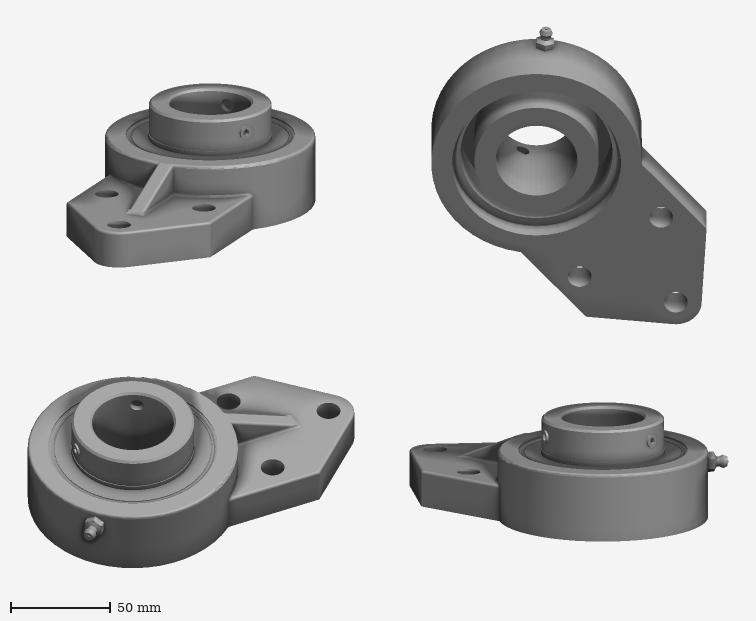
import cadquery as cq
import math

housing_diameter = 106.0
housing_height = 34.7
housing_edge_radius = 1.5
seat_diameter = 89.1
opening_diameter = 85.1
bearing_center_z = 21.8

foot_half_width = 40.0
foot_height = 18.5
foot_shoulder_y = -85.0
nose_radius = 13.0
nose_center_y = -108.0
foot_edge_radius = 1.4
foot_blend_radius = 1.4
bolt_hole_diameter = 12.0
bolt_hole_centers = [(-27.0, -65.0), (27.0, -65.0), (0.0, nose_center_y)]

rib_thickness = 8.4
rib_edge_radius = 1.3
rib_flare_radius = 1.3
rib_end_y = -90.3
rib_overlap = 5.0

shaft_diameter = 41.27
collar_diameter = 61.72
collar_top_z = 52.0
collar_chamfer = 1.1
shaft_bore_chamfer = 1.1
shoulder_diameter = 62.48
shoulder_top_z = 35.8
inner_ring_lower_reach = 19.0

outer_ring_half_width = 12.0
outer_ring_bore_diameter = 76.65
mouth_diameter = 83.5
seal_diameter = 81.9
seal_thickness = 2.0
seal_drop = 0.5
seal_groove_outer_diameter = 80.3
seal_groove_inner_diameter = 78.74
seal_groove_depth = 0.4

screw_diameter = 6.78
screw_z = 44.0
screw_angles = (90.0, -30.0)
screw_outer_radius = 31.8
screw_length = 8.0
socket_flats = 3.2
socket_depth = 3.0

nipple_angle = 135.0
nipple_z = 27.0
nipple_stem_diameter = 6.0
nipple_stem_length = 7.5
nipple_hex_flats = 9.0
nipple_hex_length = 3.3
nipple_cone_end = 4.6
nipple_neck_diameter = 5.0
nipple_neck_end = 5.9
nipple_head_diameter = 6.78
nipple_head_widest = 7.9
nipple_face_diameter = 4.8
nipple_face = 10.0
nipple_tip_diameter = 1.48
nipple_tip = 10.6

housing_radius = housing_diameter / 2
outer_ring_top_z = bearing_center_z + outer_ring_half_width
outer_ring_bottom_z = bearing_center_z - outer_ring_half_width
inner_ring_bottom_z = bearing_center_z - inner_ring_lower_reach
seal_top_z = outer_ring_top_z - seal_drop
seal_bottom_z = seal_top_z - seal_thickness


def disc(diameter, bottom, top):
    """Upright cylinder on the bearing axis."""
    return cq.Workplane("XY", origin=(0, 0, bottom)).circle(diameter / 2).extrude(top - bottom)


def ball_seat():
    """Sphere shared by the housing seat and the outer ring."""
    return cq.Workplane("XY").sphere(seat_diameter / 2).translate((0, 0, bearing_center_z))


def radial_plane(angle, radius, height):
    """Plane whose normal points away from the bearing axis and whose local X is +Z."""
    outward = cq.Vector(math.cos(math.radians(angle)), math.sin(math.radians(angle)), 0)
    origin = outward * radius + cq.Vector(0, 0, height)
    return cq.Plane(origin=origin, xDir=(0, 0, 1), normal=outward)


def hexagon(plane, flats, length):
    """Hexagonal prism with two of its corners on the local X axis of the plane."""
    corner_diameter = 2 * flats / math.sqrt(3)
    return cq.Workplane(plane).polygon(6, corner_diameter).extrude(length)


def make_foot():
    """Plate whose slanted sides run tangent into a round nose."""
    shoulder_rise = foot_shoulder_y - nose_center_y
    shoulder_distance = math.hypot(foot_half_width, shoulder_rise)
    tangent_angle = math.atan2(shoulder_rise, foot_half_width) - math.acos(nose_radius / shoulder_distance)
    tangent_x = nose_radius * math.cos(tangent_angle)
    tangent_y = nose_center_y + nose_radius * math.sin(tangent_angle)
    foot = (
        cq.Workplane("XY")
        .moveTo(-foot_half_width, 0)
        .lineTo(-foot_half_width, foot_shoulder_y)
        .lineTo(-tangent_x, tangent_y)
        .threePointArc((0, nose_center_y - nose_radius), (tangent_x, tangent_y))
        .lineTo(foot_half_width, foot_shoulder_y)
        .lineTo(foot_half_width, 0)
        .close()
        .extrude(foot_height)
    )
    return foot.faces(">Z").edges("not >Y").fillet(foot_edge_radius)


def make_wedge(thickness):
    """Prism under the rib slope, which runs past the housing top and the foot top."""
    slope = (housing_height - foot_height) / (-housing_radius - rib_end_y)
    inner_y = -housing_radius + rib_overlap
    inner_z = housing_height + slope * rib_overlap
    tip_y = rib_end_y - rib_overlap
    tip_z = foot_height - slope * rib_overlap
    return (
        cq.Workplane("YZ")
        .moveTo(inner_y, tip_z)
        .lineTo(tip_y, tip_z)
        .lineTo(inner_y, inner_z)
        .close()
        .extrude(thickness / 2, both=True)
    )


def make_rib():
    """Wedge with rounded slope edges and a concave flare where each side meets the foot."""
    wedge = make_wedge(rib_thickness)
    sloped_edges = wedge.edges("not(|X or |Y or |Z)")
    wedge = sloped_edges.fillet(rib_edge_radius)
    side = rib_thickness / 2
    base = side + rib_flare_radius
    flare_top = foot_height + rib_flare_radius
    flare = (
        cq.Workplane("XZ")
        .moveTo(-base, foot_height)
        .radiusArc((-side, flare_top), -rib_flare_radius)
        .lineTo(side, flare_top)
        .radiusArc((base, foot_height), -rib_flare_radius)
        .close()
        .extrude(-rib_end_y)
        .intersect(make_wedge(2 * base))
    )
    reach = 2 * rib_overlap - rib_end_y
    return wedge.union(flare).intersect(disc(2 * reach, 0, housing_height))


def make_nipple_stem():
    plane = radial_plane(nipple_angle, housing_radius, nipple_z)
    return cq.Workplane(plane).circle(nipple_stem_diameter / 2).extrude(-nipple_stem_length)


def make_housing():
    body = disc(housing_diameter, 0, housing_height).union(make_foot())
    around_foot_top = cq.selectors.BoxSelector(
        (-housing_radius, -housing_radius - 1, foot_height - foot_edge_radius / 2),
        (housing_radius, 0, foot_height + foot_edge_radius / 2),
    )
    body = body.edges(around_foot_top).edges("%CIRCLE").fillet(foot_blend_radius)
    body = body.faces(">Z").edges().fillet(housing_edge_radius)
    body = body.union(make_rib())
    body = body.cut(disc(opening_diameter, 0, housing_height)).cut(ball_seat())
    bolt_holes = cq.Workplane("XY").pushPoints(bolt_hole_centers).circle(bolt_hole_diameter / 2)
    return body.cut(bolt_holes.extrude(foot_height)).cut(make_nipple_stem())


def make_outer_ring():
    """Ring with a spherical outside and a beveled recess for the seal."""
    ring = ball_seat().intersect(disc(seat_diameter, outer_ring_bottom_z, outer_ring_top_z))
    ring = ring.cut(disc(outer_ring_bore_diameter, outer_ring_bottom_z, outer_ring_top_z))
    ring = ring.cut(disc(seal_diameter, seal_bottom_z, outer_ring_top_z))
    bevel = (
        cq.Workplane("XY", origin=(0, 0, seal_top_z))
        .circle(seal_diameter / 2)
        .workplane(offset=seal_drop)
        .circle(mouth_diameter / 2)
        .loft()
    )
    return ring.cut(bevel)


def make_seal():
    """Flat ring between the inner ring shoulder and the outer ring, grooved near its rim."""
    seal = disc(seal_diameter, seal_bottom_z, seal_top_z)
    seal = seal.cut(disc(shoulder_diameter, seal_bottom_z, seal_top_z))
    groove_bottom_z = seal_top_z - seal_groove_depth
    groove = disc(seal_groove_outer_diameter, groove_bottom_z, seal_top_z)
    return seal.cut(groove.cut(disc(seal_groove_inner_diameter, groove_bottom_z, seal_top_z)))


def make_inner_ring():
    """Ring with a collar above its shoulder and a radial hole for each set screw."""
    ring = disc(collar_diameter, inner_ring_bottom_z, collar_top_z)
    ring = ring.faces(">Z").edges().chamfer(collar_chamfer)
    ring = ring.union(disc(shoulder_diameter, inner_ring_bottom_z, shoulder_top_z))
    ring = ring.cut(disc(shaft_diameter, inner_ring_bottom_z, collar_top_z))
    bore_edge = ring.faces(">Z").edges(cq.selectors.RadiusNthSelector(0))
    ring = bore_edge.chamfer(shaft_bore_chamfer)
    for angle in screw_angles:
        axis_plane = radial_plane(angle, 0, screw_z)
        ring = ring.cut(cq.Workplane(axis_plane).circle(screw_diameter / 2).extrude(screw_outer_radius))
    return ring


def make_set_screw(angle):
    """Headless screw with a hexagonal socket in its outer end."""
    plane = radial_plane(angle, screw_outer_radius, screw_z)
    screw = cq.Workplane(plane).circle(screw_diameter / 2).extrude(-screw_length)
    return screw.cut(hexagon(plane, socket_flats, -socket_depth))


def make_nipple():
    """Stem, hexagon, and a turned end with a neck, a head and a small tip."""
    base = radial_plane(nipple_angle, housing_radius, nipple_z)
    profile_plane = cq.Plane(origin=base.origin, xDir=base.xDir, normal=base.xDir.cross(base.zDir))
    turned_end = (
        cq.Workplane(profile_plane)
        .moveTo(0, nipple_hex_length)
        .lineTo(nipple_hex_flats / 2, nipple_hex_length)
        .lineTo(nipple_neck_diameter / 2, nipple_cone_end)
        .lineTo(nipple_neck_diameter / 2, nipple_neck_end)
        .lineTo(nipple_head_diameter / 2, nipple_head_widest)
        .lineTo(nipple_face_diameter / 2, nipple_face)
        .lineTo(nipple_tip_diameter / 2, nipple_face)
        .lineTo(nipple_tip_diameter / 2, nipple_tip)
        .lineTo(0, nipple_tip)
        .close()
        .revolve(360, (0, 0), (0, 1))
    )
    nipple = hexagon(base, nipple_hex_flats, nipple_hex_length).union(turned_end)
    return nipple.union(make_nipple_stem())


housing = make_housing()
outer_ring = make_outer_ring()
seal = make_seal()
inner_ring = make_inner_ring()
set_screws = [make_set_screw(angle) for angle in screw_angles]
nipple = make_nipple()

result = cq.Compound.makeCompound([
    housing.val(),
    outer_ring.val(),
    seal.val(),
    inner_ring.val(),
    *[screw.val() for screw in set_screws],
    nipple.val(),
])